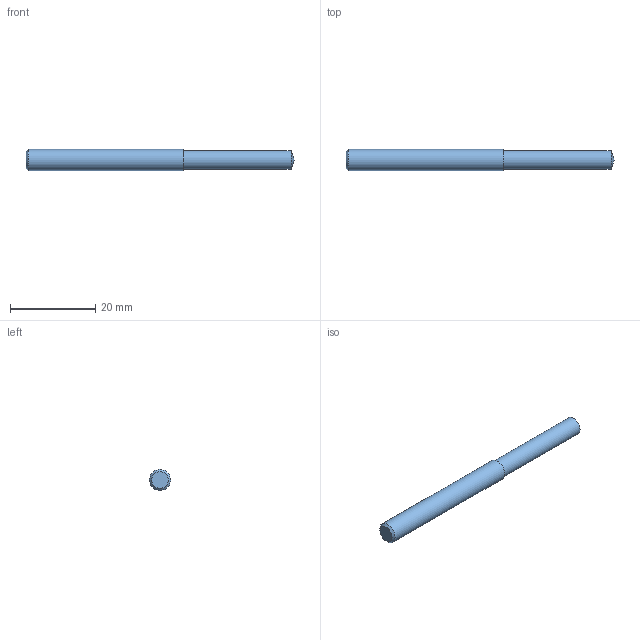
import cadquery as cq

overall_length = 63.0

shank_diameter = 5.0
shank_length = 37.0
shank_chamfer = 0.5

reduced_diameter = 4.4
point_length = 0.7

shank_radius = shank_diameter / 2
reduced_radius = reduced_diameter / 2
point_start = overall_length - point_length


def make_stepped_pin():
    """Revolve the half profile of the stepped pin about the X axis."""
    half_profile = (
        cq.Workplane("XY")
        .moveTo(0, 0)
        .lineTo(0, shank_radius - shank_chamfer)
        .lineTo(shank_chamfer, shank_radius)
        .lineTo(shank_length, shank_radius)
        .lineTo(shank_length, reduced_radius)
        .lineTo(point_start, reduced_radius)
        .lineTo(overall_length, 0)
        .close()
    )
    return half_profile.revolve(360, (0, 0, 0), (1, 0, 0))


result = make_stepped_pin()